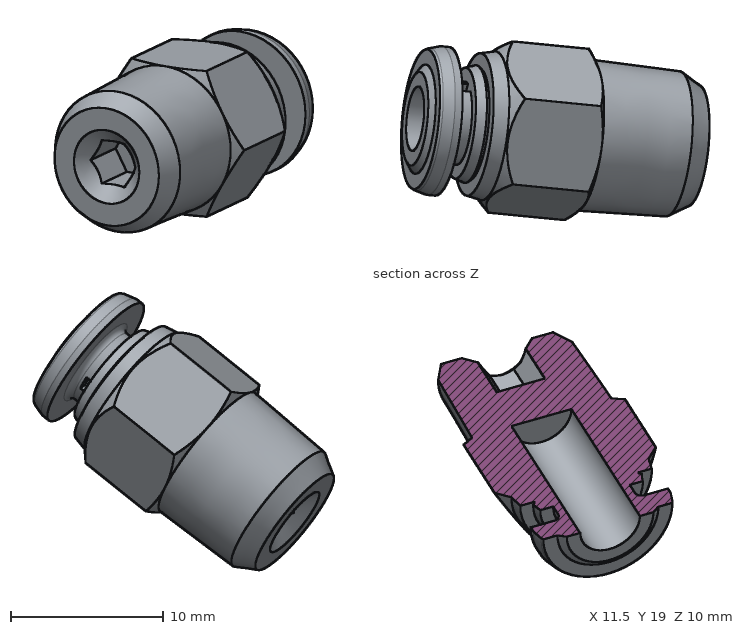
import cadquery as cq
import math

LENGTH = 19.0
HEX_ACROSS_FLATS = 10.0
HEX_CORNER_RADIUS = HEX_ACROSS_FLATS / math.sqrt(3)

THREAD_TIP_RADIUS = 4.0
THREAD_CHAMFER_LENGTH = 1.39
THREAD_SMALL_RADIUS = 4.8
THREAD_LARGE_RADIUS = HEX_ACROSS_FLATS / 2

HEX_START = 7.5
HEX_END = 13.98
HEX_LOWER_CORNER = 7.95
HEX_UPPER_CORNER = 13.15
BODY_TOP = 15.0
BODY_TOP_RADIUS = 4.71
BODY_CONE_RADIUS = 4.92

COLLAR_BASE_RADIUS = 3.7
COLLAR_RIM = 15.22
COLLAR_RIM_RADIUS = 3.9
COLLAR_TOP = 15.9
COLLAR_TOP_RADIUS = 3.67

NECK_RADIUS = 2.75
NECK_FLARE_START = 16.72
FLANGE_BOTTOM = 17.18
NECK_FLARE_RADIUS = NECK_RADIUS + FLANGE_BOTTOM - NECK_FLARE_START
FLANGE_RADIUS = 4.92
FLANGE_TAPER_START = 17.69
FLANGE_TAPER_END = 18.45
FLANGE_TAPER_RADIUS = 4.71
FLANGE_TOP = 18.64
FLANGE_TOP_RADIUS = 4.62
CAP_BASE_RADIUS = 3.61
CAP_TOP_RADIUS = 3.1

SOCKET_ACROSS_FLATS = 2.96
SOCKET_DEPTH = 3.99
COUNTERSINK_RADIUS = 2.5

BORE_RADIUS = 2.13
BORE_FLOOR = HEX_START

NOTCH_WIDTH = 0.97
NOTCH_TOP = 16.47
NOTCH_ANGLE = 140.0


def revolve_about_y(profile):
    """Close a profile that starts and ends on the Y axis and revolve it."""
    return profile.close().revolve(360, (0, 0, 0), (0, 1, 0))


def hex_prism(across_flats, start, end):
    """Hexagonal prism along Y, with two corners on the X axis."""
    corner_diameter = 2 * across_flats / math.sqrt(3)
    plane = cq.Plane(origin=(0, start, 0), xDir=(1, 0, 0), normal=(0, 1, 0))
    return cq.Workplane(plane).polygon(6, corner_diameter).extrude(end - start)


def make_hex_body():
    """Hexagon with its corners cut back by a cone at each end."""
    cones = revolve_about_y(
        cq.Workplane("XY")
        .moveTo(0, HEX_START)
        .lineTo(THREAD_LARGE_RADIUS, HEX_START)
        .lineTo(HEX_CORNER_RADIUS, HEX_LOWER_CORNER)
        .lineTo(HEX_CORNER_RADIUS, HEX_UPPER_CORNER)
        .lineTo(BODY_CONE_RADIUS, HEX_END)
        .lineTo(0, HEX_END)
    )
    return hex_prism(HEX_ACROSS_FLATS, HEX_START, HEX_END).intersect(cones)


def make_shank():
    return revolve_about_y(
        cq.Workplane("XY")
        .lineTo(THREAD_TIP_RADIUS, 0)
        .lineTo(THREAD_SMALL_RADIUS, THREAD_CHAMFER_LENGTH)
        .lineTo(THREAD_LARGE_RADIUS, HEX_START)
        .lineTo(0, HEX_START)
    )


def make_button_end():
    """Round end above the hexagon: body cone, collar, neck, flange and cap."""
    return revolve_about_y(
        cq.Workplane("XY")
        .moveTo(0, HEX_END)
        .lineTo(BODY_CONE_RADIUS, HEX_END)
        .lineTo(BODY_TOP_RADIUS, BODY_TOP)
        .lineTo(COLLAR_BASE_RADIUS, BODY_TOP)
        .lineTo(COLLAR_RIM_RADIUS, COLLAR_RIM)
        .lineTo(COLLAR_TOP_RADIUS, COLLAR_TOP)
        .lineTo(NECK_RADIUS, COLLAR_TOP)
        .lineTo(NECK_RADIUS, NECK_FLARE_START)
        .tangentArcPoint((NECK_FLARE_RADIUS, FLANGE_BOTTOM), relative=False)
        .lineTo(FLANGE_RADIUS, FLANGE_BOTTOM)
        .lineTo(FLANGE_RADIUS, FLANGE_TAPER_START)
        .lineTo(FLANGE_TAPER_RADIUS, FLANGE_TAPER_END)
        .lineTo(FLANGE_TOP_RADIUS, FLANGE_TOP)
        .lineTo(CAP_BASE_RADIUS, FLANGE_TOP)
        .lineTo(CAP_TOP_RADIUS, LENGTH)
        .lineTo(0, LENGTH)
    )


def make_socket():
    countersink = revolve_about_y(
        cq.Workplane("XY")
        .lineTo(COUNTERSINK_RADIUS, 0)
        .lineTo(0, COUNTERSINK_RADIUS)
    )
    return hex_prism(SOCKET_ACROSS_FLATS, 0, SOCKET_DEPTH).union(countersink)


def make_bore():
    plane = cq.Plane(origin=(0, BORE_FLOOR, 0), xDir=(1, 0, 0), normal=(0, 1, 0))
    return cq.Workplane(plane).circle(BORE_RADIUS).extrude(LENGTH - BORE_FLOOR)


def make_notch():
    """Notch above the collar, through the neck wall into the bore, turned towards -X +Z."""
    notch = cq.Workplane("XY").box(
        NECK_RADIUS,
        NOTCH_TOP - COLLAR_TOP,
        NOTCH_WIDTH,
        centered=(False, False, True),
    )
    notch = notch.translate((0, COLLAR_TOP, 0))
    return notch.rotate((0, 0, 0), (0, 1, 0), -NOTCH_ANGLE)


result = (
    make_shank()
    .union(make_hex_body())
    .union(make_button_end())
    .cut(make_socket())
    .cut(make_bore())
    .cut(make_notch())
)